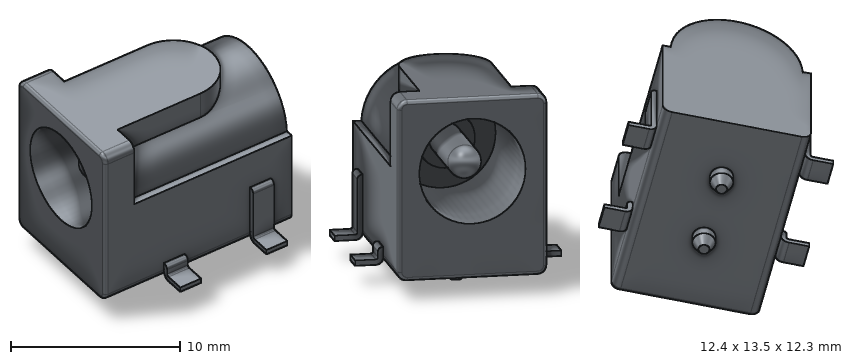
import cadquery as cq
import math

body_width = 9.0
body_length = 13.46
body_height = 11.0
flange_thickness = 2.15
corner_radius = 0.57
front_edge_radius = 0.24

shoulder_height = 6.5
barrel_radius = 4.01
barrel_axis_height = 6.27

pad_width = 5.52
pad_end = 10.85

socket_diameter = 6.4
socket_axis_height = shoulder_height
socket_depth = 9.0
pedestal_diameter = 3.51
pedestal_height = 1.0
pin_diameter = 2.0
pin_tip_depth = 1.48

lead_span = 12.42
lead_width = 1.5
lead_thickness = 0.34
lead_bend_radius = 0.13
lead_tip_radius = 0.25
front_lead_center = 5.01
rear_lead_center = 11.2
front_lead_height = 1.06
rear_lead_height = 3.96

peg_diameter = 1.37
peg_tip_diameter = 0.66
peg_length = 1.25
peg_straight_length = 0.58
peg_centers = (5.01, 9.53)


def cylinder_along_y(diameter, axis_height, start, end):
    """Solid cylinder centred on X = 0, between two Y positions."""
    base = cq.Workplane("XZ", origin=(0, start, axis_height))
    return base.circle(diameter / 2).extrude(start - end)


def make_housing():
    block = cq.Workplane("XY").box(body_width, body_length, body_height, centered=(True, False, False))
    block = block.edges("|Y").fillet(corner_radius)
    block = block.faces("<Y").edges().fillet(front_edge_radius)

    rear_length = body_length - flange_thickness
    upper_height = body_height - shoulder_height
    upper_rear = cq.Workplane("XY", origin=(0, flange_thickness, shoulder_height)).box(
        body_width, rear_length, upper_height, centered=(True, False, False)
    )
    barrel = cylinder_along_y(2 * barrel_radius, barrel_axis_height, flange_thickness, body_length)

    pad_radius = pad_width / 2
    pad = (
        cq.Workplane("XY", origin=(0, 0, shoulder_height))
        .moveTo(-pad_radius, flange_thickness)
        .lineTo(pad_radius, flange_thickness)
        .lineTo(pad_radius, pad_end - pad_radius)
        .threePointArc((0, pad_end), (-pad_radius, pad_end - pad_radius))
        .close()
        .extrude(upper_height)
    )
    roof = barrel.intersect(upper_rear).union(pad)
    return block.cut(upper_rear).union(roof)


def make_contact():
    """Round-nosed centre pin on a low pedestal at the socket floor."""
    pin_radius = pin_diameter / 2
    nose_center = pin_tip_depth + pin_radius
    pin = cylinder_along_y(pin_diameter, socket_axis_height, nose_center, socket_depth)
    nose = cq.Workplane("XY", origin=(0, nose_center, socket_axis_height)).sphere(pin_radius)
    pedestal_start = socket_depth - pedestal_height
    pedestal = cylinder_along_y(pedestal_diameter, socket_axis_height, pedestal_start, socket_depth)
    return pin.union(nose).union(pedestal)


def make_lead(center, height):
    """Right-hand lead: upright strip against the side wall, bent out into a flat foot."""
    wall = body_width / 2
    outer_face = wall + lead_thickness
    foot_end = lead_span / 2
    outer_bend_radius = lead_bend_radius + lead_thickness
    bend_x = wall + outer_bend_radius
    bend_z = outer_bend_radius
    diagonal = math.sqrt(0.5)
    inner_mid = (bend_x - lead_bend_radius * diagonal, bend_z - lead_bend_radius * diagonal)
    outer_mid = (bend_x - outer_bend_radius * diagonal, bend_z - outer_bend_radius * diagonal)
    tip_mid = (
        outer_face - lead_tip_radius * (1 - diagonal),
        height - lead_tip_radius * (1 - diagonal),
    )
    return (
        cq.Workplane("XZ", origin=(0, center + lead_width / 2, 0))
        .moveTo(wall, height)
        .lineTo(outer_face - lead_tip_radius, height)
        .threePointArc(tip_mid, (outer_face, height - lead_tip_radius))
        .lineTo(outer_face, bend_z)
        .threePointArc(inner_mid, (bend_x, lead_thickness))
        .lineTo(foot_end, lead_thickness)
        .lineTo(foot_end, 0)
        .lineTo(bend_x, 0)
        .threePointArc(outer_mid, (wall, bend_z))
        .close()
        .extrude(lead_width)
    )


def make_peg(center):
    """Peg below the housing with a tapered tip."""
    radius = peg_diameter / 2
    tip_radius = peg_tip_diameter / 2
    return (
        cq.Workplane("XZ", origin=(0, center, 0))
        .polyline([
            (0, 0),
            (radius, 0),
            (radius, -peg_straight_length),
            (tip_radius, -peg_length),
            (0, -peg_length),
        ])
        .close()
        .revolve(360, (0, 0, 0), (0, 1, 0))
    )


socket = cylinder_along_y(socket_diameter, socket_axis_height, 0, socket_depth)
result = make_housing().cut(socket).union(make_contact())

for lead_center, lead_height in (
    (front_lead_center, front_lead_height),
    (rear_lead_center, rear_lead_height),
):
    lead = make_lead(lead_center, lead_height)
    result = result.union(lead).union(lead.mirror("YZ"))

for peg_center in peg_centers:
    result = result.union(make_peg(peg_center))